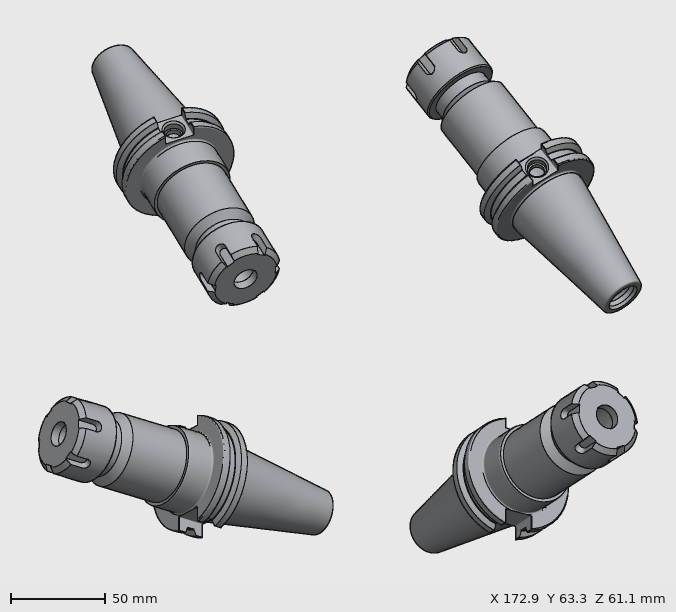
import cadquery as cq
import math


gauge_diameter = 44.45
taper_length = 68.25
taper_ratio = 7 / 24
small_end_diameter = gauge_diameter - taper_length * taper_ratio
small_end_fillet = 1.0

gauge_land_length = 2.1
relief_diameter = 43.94
relief_fillet = 0.9

flange_diameter = 63.26
gauge_to_flange = 3.18
flange_start = taper_length + gauge_to_flange
flange_width = 15.88
flange_end = flange_start + flange_width
flange_edge_fillet = 0.6

groove_centre = flange_start + flange_width / 2
groove_floor_diameter = 56.4
groove_floor_width = 4.1
groove_wall_top_diameter = 57.5
groove_flank_angle = 30
groove_flank_depth = (flange_diameter - groove_wall_top_diameter) / 2
groove_flank_length = groove_flank_depth * math.tan(math.radians(groove_flank_angle))
groove_opening_width = groove_floor_width + 2 * groove_flank_length

drive_slot_width = 16.0
drive_slot_floor_fillet = 0.4
drive_slot_edge_break = 0.35
upper_slot_floor = 24.7
lower_slot_floor = 22.6

recess_top_diameter = 12.3
recess_diameter = 10.13
recess_depth = 4.5
pilot_diameter = 8.0
pilot_depth = 7.5
drill_tip_angle = 140

collar_end = 103.4
collar_fillet = 0.9
collar_chamfer_length = 1.2
body_diameter = 40.51
body_end = 139.0
neck_diameter = 32.0
neck_start = body_end + (body_diameter - neck_diameter) / 2

bore_diameter = 13.39
counterbore_diameter = 16.46
counterbore_depth = 4.7
mouth_diameter = 18.03
mouth_depth = 1.8

nut_diameter = 42.0
nut_start = 149.8
nut_end = 172.91
nut_back_chamfer = 0.7
nut_nose_diameter = 36.2
nut_nose_length = 2.5
nut_lip_thickness = 5.0
neck_end = nut_end - nut_lip_thickness

spanner_slot_count = 6
spanner_slot_width = 6.2
spanner_slot_start = 160.2
spanner_slot_floor_radius = 17.3
spanner_slot_draft = 12
nut_rotation = 0.9

arc_dip = 1 - math.sqrt(0.5)


def revolve_about_x(profile):
    """Turn a closed (x, radius) profile around the X axis."""
    return profile.close().revolve(360, (0, 0, 0), (1, 0, 0))


def cut_groove(holder):
    floor_radius = groove_floor_diameter / 2
    wall_radius = groove_wall_top_diameter / 2
    rim_radius = flange_diameter / 2
    half_floor = groove_floor_width / 2
    half_opening = groove_opening_width / 2
    groove = revolve_about_x(
        cq.Workplane("XY")
        .moveTo(groove_centre - half_floor, floor_radius)
        .lineTo(groove_centre - half_floor, wall_radius)
        .lineTo(groove_centre - half_opening, rim_radius)
        .lineTo(groove_centre + half_opening, rim_radius)
        .lineTo(groove_centre + half_floor, wall_radius)
        .lineTo(groove_centre + half_floor, floor_radius)
    )
    return holder.cut(groove)


def make_turned_holder():
    gauge_radius = gauge_diameter / 2
    flange_radius = flange_diameter / 2
    fillet = flange_edge_fillet
    return revolve_about_x(
        cq.Workplane("XY")
        .moveTo(0, 0)
        .lineTo(0, small_end_diameter / 2)
        .lineTo(taper_length, gauge_radius)
        .lineTo(taper_length + gauge_land_length, gauge_radius)
        .lineTo(taper_length + gauge_land_length, relief_diameter / 2)
        .lineTo(flange_start - relief_fillet, relief_diameter / 2)
        .threePointArc(
            (flange_start - arc_dip * relief_fillet, relief_diameter / 2 + arc_dip * relief_fillet),
            (flange_start, relief_diameter / 2 + relief_fillet),
        )
        .lineTo(flange_start, flange_radius - fillet)
        .threePointArc(
            (flange_start + arc_dip * fillet, flange_radius - arc_dip * fillet),
            (flange_start + fillet, flange_radius),
        )
        .lineTo(flange_end - fillet, flange_radius)
        .threePointArc(
            (flange_end - arc_dip * fillet, flange_radius - arc_dip * fillet),
            (flange_end, flange_radius - fillet),
        )
        .lineTo(flange_end, gauge_radius + collar_fillet)
        .threePointArc(
            (flange_end + arc_dip * collar_fillet, gauge_radius + arc_dip * collar_fillet),
            (flange_end + collar_fillet, gauge_radius),
        )
        .lineTo(collar_end - collar_chamfer_length, gauge_radius)
        .lineTo(collar_end, relief_diameter / 2)
        .lineTo(collar_end, body_diameter / 2)
        .lineTo(body_end, body_diameter / 2)
        .lineTo(neck_start, neck_diameter / 2)
        .lineTo(neck_end, neck_diameter / 2)
        .lineTo(neck_end, 0)
    ).faces("<X").edges().fillet(small_end_fillet)


def cut_drive_slots(holder):
    slot_height = flange_diameter
    slot_length = flange_width + collar_fillet
    for side, floor in ((1, upper_slot_floor), (-1, lower_slot_floor)):
        slot = (
            cq.Workplane("XY")
            .box(slot_length, drive_slot_width, slot_height)
            .edges("|X")
            .fillet(drive_slot_floor_fillet)
            .translate((flange_start + slot_length / 2, 0, side * (floor + slot_height / 2)))
        )
        holder = holder.cut(slot)
    return holder


def break_drive_slot_edges(holder):
    """Bevel the slot wall edges, along the rim and on both faces, with square bars turned by 45 degrees."""
    half_width = drive_slot_width / 2
    rim_height = math.sqrt((flange_diameter / 2) ** 2 - half_width**2)
    bar_size = drive_slot_edge_break * math.sqrt(2)
    rim_bar = cq.Workplane("XY").box(flange_width, bar_size, bar_size).rotate((0, 0, 0), (1, 0, 0), 45)
    for side, floor in ((1, upper_slot_floor), (-1, lower_slot_floor)):
        bar_length = flange_diameter / 2 - floor
        bar_middle = side * (floor + bar_length / 2)
        face_bar = cq.Workplane("XY").box(bar_size, bar_size, bar_length).rotate((0, 0, 0), (0, 0, 1), 45)
        for y in (-half_width, half_width):
            holder = holder.cut(rim_bar.translate((groove_centre, y, side * rim_height)))
            for face in (flange_start, flange_end):
                holder = holder.cut(face_bar.translate((face, y, bar_middle)))
    return holder


def cut_slot_hole(holder):
    chamfer = (recess_top_diameter - recess_diameter) / 2
    tip_length = pilot_diameter / 2 / math.tan(math.radians(drill_tip_angle / 2))
    hole = (
        cq.Workplane("XZ")
        .moveTo(0, 0)
        .lineTo(recess_top_diameter / 2, 0)
        .lineTo(recess_diameter / 2, -chamfer)
        .lineTo(recess_diameter / 2, -recess_depth)
        .lineTo(pilot_diameter / 2, -recess_depth)
        .lineTo(pilot_diameter / 2, -pilot_depth)
        .lineTo(0, -pilot_depth - tip_length)
        .close()
        .revolve(360, (0, 0, 0), (0, 1, 0))
    )
    return holder.cut(hole.translate((groove_centre, 0, upper_slot_floor)))


def cut_bore(holder):
    step = (counterbore_diameter - bore_diameter) / 2
    bore = revolve_about_x(
        cq.Workplane("XY")
        .moveTo(0, 0)
        .lineTo(0, mouth_diameter / 2)
        .lineTo(mouth_depth, counterbore_diameter / 2)
        .lineTo(counterbore_depth, counterbore_diameter / 2)
        .lineTo(counterbore_depth + step, bore_diameter / 2)
        .lineTo(neck_end, bore_diameter / 2)
        .lineTo(neck_end, 0)
    )
    return holder.cut(bore)


def make_holder():
    holder = cut_drive_slots(make_turned_holder())
    holder = break_drive_slot_edges(holder)
    holder = cut_groove(holder)
    holder = cut_slot_hole(holder)
    return cut_bore(holder)


def make_spanner_slot():
    """A drafted, round-ended slot on the -Y side, wider outside than at its floor."""
    outer_radius = nut_diameter / 2
    half_width = spanner_slot_width / 2
    arc_centre = spanner_slot_start + half_width
    run_out = nut_end + spanner_slot_width
    return (
        cq.Workplane("XZ", origin=(0, -outer_radius, 0))
        .moveTo(run_out, half_width)
        .lineTo(arc_centre, half_width)
        .threePointArc((spanner_slot_start, 0), (arc_centre, -half_width))
        .lineTo(run_out, -half_width)
        .close()
        .extrude(-(outer_radius - spanner_slot_floor_radius), taper=spanner_slot_draft)
    )


def make_nut():
    outer_radius = nut_diameter / 2
    nut = revolve_about_x(
        cq.Workplane("XY")
        .moveTo(nut_start, neck_diameter / 2)
        .lineTo(nut_start, outer_radius - nut_back_chamfer)
        .lineTo(nut_start + nut_back_chamfer, outer_radius)
        .lineTo(nut_end - nut_nose_length, outer_radius)
        .lineTo(nut_end, nut_nose_diameter / 2)
        .lineTo(nut_end, bore_diameter / 2)
        .lineTo(neck_end, bore_diameter / 2)
        .lineTo(neck_end, neck_diameter / 2)
    )
    slot = make_spanner_slot()
    for index in range(spanner_slot_count):
        angle = index * 360 / spanner_slot_count - nut_rotation
        nut = nut.cut(slot.rotate((0, 0, 0), (1, 0, 0), angle))
    return nut


holder = make_holder()
nut = make_nut()

result = cq.Compound.makeCompound([holder.val(), nut.val()])